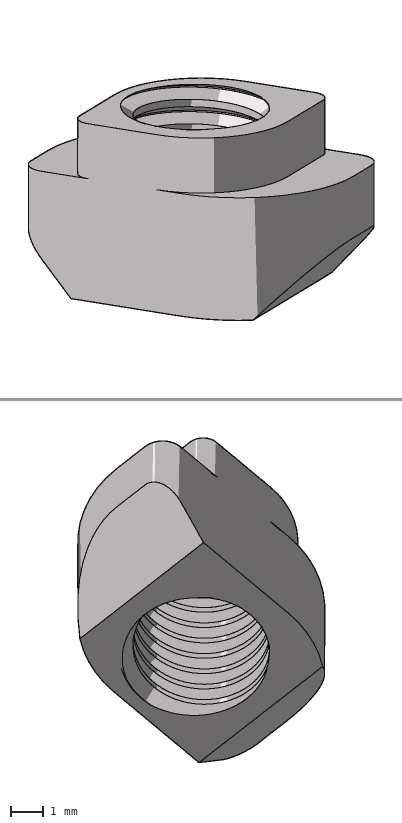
import cadquery as cq
import math

length = 9.6
width = 6.0
height = 5.8

base_height = 4.0
base_large_radius = 4.0
base_small_radius = 0.8
slope_height = 2.0

stem_length = width
stem_large_radius = width / 2
stem_small_radius = 0.6

minor_diameter = 4.23
major_diameter = 5.12
pitch = 0.801
root_flat = 0.05
flank_half_angle = math.radians(30)
profile_overlap = 0.19
extra_turns = 2


def two_radius_block(block_length, large_radius, small_radius, block_height):
    """Rectangular block with large and small corner radii on opposite diagonals."""
    x = block_length / 2
    y = width / 2
    return (
        cq.Workplane("XY")
        .moveTo(-x, -y + small_radius)
        .lineTo(-x, y - large_radius)
        .radiusArc((-x + large_radius, y), large_radius)
        .lineTo(x - small_radius, y)
        .radiusArc((x, y - small_radius), small_radius)
        .lineTo(x, -y + large_radius)
        .radiusArc((x - large_radius, -y), large_radius)
        .lineTo(-x + small_radius, -y)
        .radiusArc((-x, -y + small_radius), small_radius)
        .close()
        .extrude(block_height)
    )


def base():
    """Lower block, its ends sloping in to the stem length at the bottom."""
    side_profile = (
        cq.Workplane("XZ")
        .moveTo(-stem_length / 2, 0)
        .lineTo(stem_length / 2, 0)
        .lineTo(length / 2, slope_height)
        .lineTo(length / 2, base_height)
        .lineTo(-length / 2, base_height)
        .lineTo(-length / 2, slope_height)
        .close()
        .extrude(width / 2, both=True)
    )
    block = two_radius_block(length, base_large_radius, base_small_radius, base_height)
    return block.intersect(side_profile)


def thread_groove():
    """Helical V groove whose root meets the top face on the -X side."""
    turns = math.ceil(height / pitch) + extra_turns
    start_z = height - (turns - 0.5) * pitch
    inner_radius = minor_diameter / 2 - profile_overlap
    outer_radius = major_diameter / 2
    half_root = root_flat / 2
    half_mouth = half_root + (outer_radius - inner_radius) * math.tan(flank_half_angle)
    helix = cq.Wire.makeHelix(pitch, (turns + 1) * pitch, inner_radius)
    return (
        cq.Workplane("XZ")
        .moveTo(inner_radius, -half_mouth)
        .lineTo(outer_radius, -half_root)
        .lineTo(outer_radius, half_root)
        .lineTo(inner_radius, half_mouth)
        .close()
        .sweep(cq.Workplane(obj=helix), isFrenet=True)
        .translate((0, 0, start_z))
    )


stem = two_radius_block(
    stem_length, stem_large_radius, stem_small_radius, height - base_height
).translate((0, 0, base_height))
bore = cq.Workplane("XY").circle(minor_diameter / 2).extrude(height)
bore = bore.rotate((0, 0, 0), (0, 0, 1), 180)

result = base().union(stem).cut(thread_groove()).cut(bore)